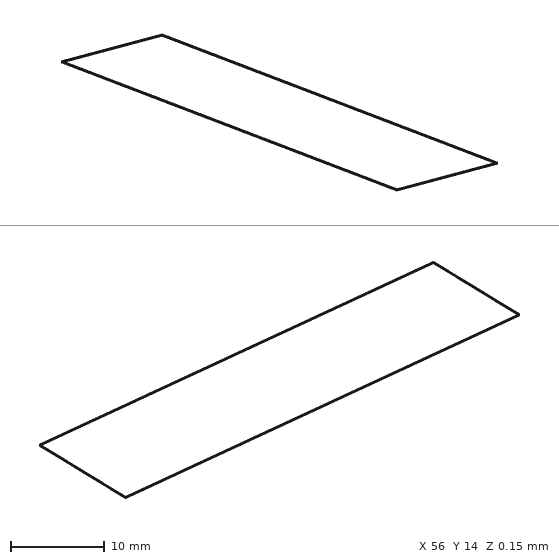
import cadquery as cq

length = 56
width = 14
thickness = 0.15

result = cq.Workplane("XY").box(length, width, thickness)